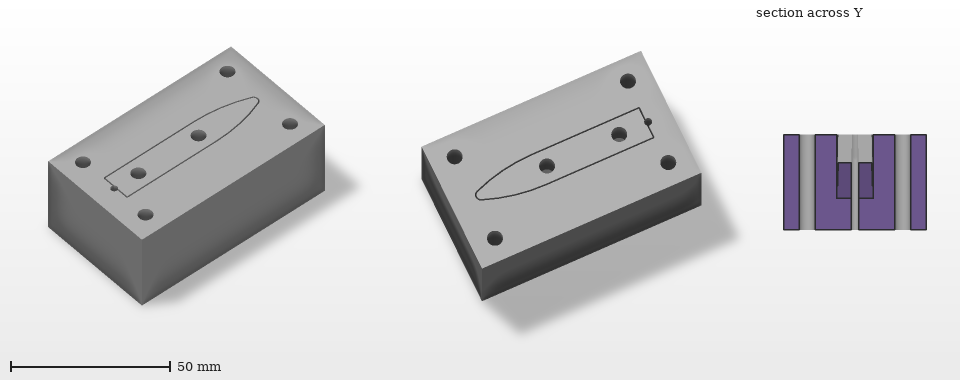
import cadquery as cq
import math

block_width = 45.0
block_length = 76.0
block_height = 30.0
top_z = block_height / 2

bolt_diameter = 5.0
bolt_spacing_x = 30.0
bolt_spacing_y = 60.05

insert_half_width = 5.25
insert_heel_y = -29.2
insert_tip_y = 29.25
tip_radius = 1.45
side_radius = 56.25

flare = 0.5
pocket_depth = 20.0

drill_diameter = 5.0
drill_depth = 10.0
drill_point_angle = 118.0
drill_positions_y = (5.0, -20.0)

vent_diameter = 2.5
vent_y = -30.0


def insert_top_outline():
    """Top shape of the insert, placed on the pocket floor, with tangent side and tip arcs."""
    tip_center_y = insert_tip_y - tip_radius
    side_center_x = insert_half_width - side_radius
    center_distance = side_radius - tip_radius
    side_start_y = tip_center_y - math.sqrt(center_distance**2 - side_center_x**2)

    end_angle = math.atan2(tip_center_y - side_start_y, -side_center_x)
    touch_x = tip_radius * math.cos(end_angle)
    touch_y = tip_center_y + tip_radius * math.sin(end_angle)
    middle_x = side_center_x + side_radius * math.cos(end_angle / 2)
    middle_y = side_start_y + side_radius * math.sin(end_angle / 2)

    return (
        cq.Workplane("XY", origin=(0, 0, top_z - pocket_depth))
        .moveTo(-insert_half_width, insert_heel_y)
        .lineTo(insert_half_width, insert_heel_y)
        .lineTo(insert_half_width, side_start_y)
        .threePointArc((middle_x, middle_y), (touch_x, touch_y))
        .threePointArc((0, insert_tip_y), (-touch_x, touch_y))
        .threePointArc((-middle_x, middle_y), (-insert_half_width, side_start_y))
        .close()
    )


def pocket_outline():
    """Foot of the insert, which fills the pocket floor."""
    return insert_top_outline().offset2D(flare)


def make_vent_cutter():
    """Cylinder through the full block height, cutting both bodies."""
    return cq.Workplane("XY").center(0, vent_y).circle(vent_diameter / 2).extrude(top_z, both=True)


def make_drill_cutter(y):
    """Revolved blind hole with a conical bottom."""
    radius = drill_diameter / 2
    point_length = radius / math.tan(math.radians(drill_point_angle / 2))
    profile = (
        cq.Workplane("XZ", origin=(0, y, top_z))
        .lineTo(radius, 0)
        .lineTo(radius, -drill_depth)
        .lineTo(0, -drill_depth - point_length)
        .close()
    )
    return profile.revolve(360, (0, 0, 0), (0, 1, 0))


def make_block():
    """Block with corner bolt holes and a straight-walled pocket for the insert."""
    pocket = pocket_outline().extrude(pocket_depth)
    return (
        cq.Workplane("XY")
        .box(block_width, block_length, block_height)
        .faces(">Z")
        .workplane()
        .rect(bolt_spacing_x, bolt_spacing_y, forConstruction=True)
        .vertices()
        .hole(bolt_diameter)
        .cut(pocket)
        .cut(make_vent_cutter())
    )


def make_insert():
    """Insert tapering upward from the pocket floor, flush with the top of the block."""
    taper_angle = math.degrees(math.atan(flare / pocket_depth))
    insert = pocket_outline().extrude(pocket_depth, taper=taper_angle)
    for y in drill_positions_y:
        insert = insert.cut(make_drill_cutter(y))
    return insert.cut(make_vent_cutter())


block = make_block()
insert = make_insert()
result = cq.Compound.makeCompound([block.val(), insert.val()])